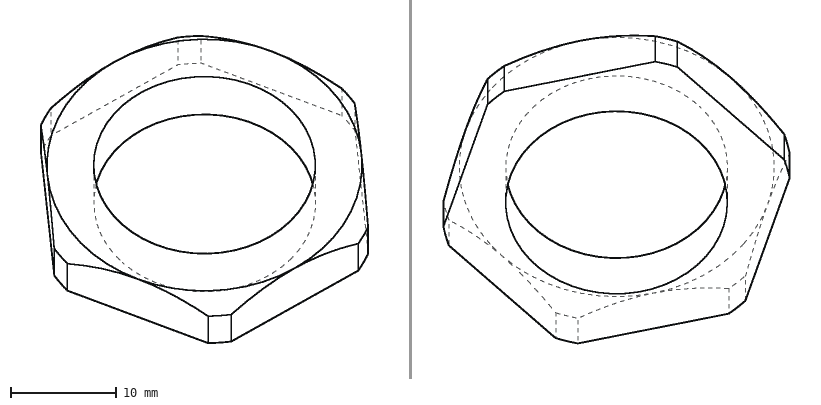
import cadquery as cq
import math

across_flats = 30.0
corner_diameter = 33.44
bore_diameter = 21.1
thickness = 6.0
chamfer_angle = 45.0
side_count = 6

flat_radius = across_flats / 2
corner_radius = corner_diameter / 2
chamfer_drop = (corner_radius - flat_radius) * math.tan(math.radians(chamfer_angle))


def hexagonal_prism():
    """Sharp-cornered hexagon with two corners on the X axis."""
    across_corners = across_flats / math.cos(math.pi / side_count)
    return cq.Workplane("XY").polygon(side_count, across_corners).extrude(thickness)


def chamfered_round():
    """Turned envelope: a cylinder with a conical chamfer at the top."""
    profile = (
        cq.Workplane("XZ")
        .moveTo(0, 0)
        .lineTo(corner_radius, 0)
        .lineTo(corner_radius, thickness - chamfer_drop)
        .lineTo(flat_radius, thickness)
        .lineTo(0, thickness)
        .close()
    )
    return profile.revolve(360, (0, 0, 0), (0, 1, 0))


def bore():
    """Plain through hole."""
    return cq.Workplane("XY").circle(bore_diameter / 2).extrude(thickness)


result = hexagonal_prism().intersect(chamfered_round()).cut(bore())